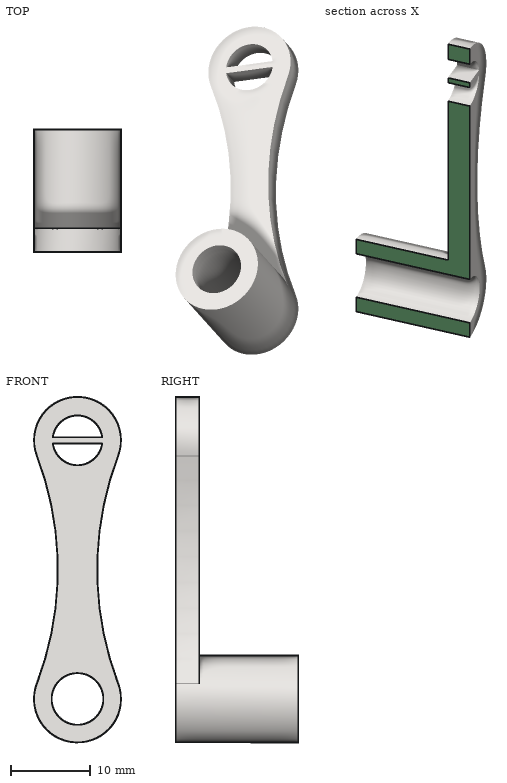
import cadquery as cq
import math

end_diameter = 11.0
center_distance = 32.63
arm_thickness = 3.0
total_depth = 15.5
waist_width = 5.0
handle_bore = 6.5
upper_hole = 6.25
web_height = 0.8

end_radius = end_diameter / 2
half_distance = center_distance / 2
half_waist = waist_width / 2

side_radius = (half_distance**2 + half_waist**2 - end_radius**2) / (2 * (end_radius - half_waist))
tangent_angle = math.asin(half_distance / (side_radius + end_radius))
tangent_x = end_radius * math.cos(tangent_angle)
tangent_rise = end_radius * math.sin(tangent_angle)


def front_plane(z):
    """Plane on the arm's front face (Y = 0) at height z; its normal points to -Y."""
    return cq.Workplane("XZ", origin=(0, 0, z))


def make_arm():
    """Waisted link with a round end at Z = 0 and another at Z = center_distance."""
    upper_z = center_distance - tangent_rise
    return (
        front_plane(0)
        .moveTo(tangent_x, tangent_rise)
        .threePointArc((half_waist, half_distance), (tangent_x, upper_z))
        .threePointArc((0, center_distance + end_radius), (-tangent_x, upper_z))
        .threePointArc((-half_waist, half_distance), (-tangent_x, tangent_rise))
        .threePointArc((0, -end_radius), (tangent_x, tangent_rise))
        .close()
        .extrude(-arm_thickness)
    )


def make_handle():
    """Round handle around the lower end, running the full depth."""
    return front_plane(0).circle(end_radius).extrude(-total_depth)


def make_handle_bore():
    """Through bore along the handle axis."""
    return front_plane(0).circle(handle_bore / 2).extrude(-total_depth)


def make_split_hole():
    """Upper through hole, divided in two by a horizontal web."""
    hole = front_plane(center_distance).circle(upper_hole / 2).extrude(-arm_thickness)
    web = front_plane(center_distance).rect(upper_hole, web_height).extrude(-arm_thickness)
    return hole.cut(web)


result = make_arm().union(make_handle()).cut(make_handle_bore()).cut(make_split_hole())